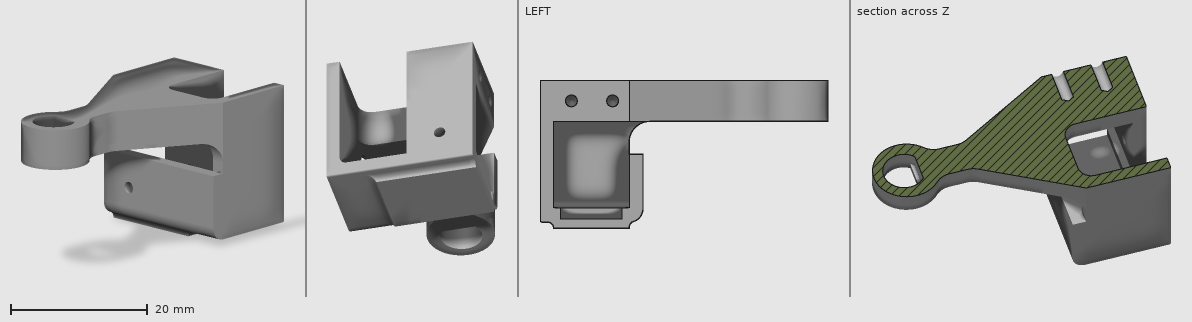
import cadquery as cq
import math

width = 22.0
height = 21.6
length = 42.05
half_width = width / 2
wall = 1.98

plate_thickness = 6.0
plate_bottom = height - plate_thickness
straight_length = 13.0
taper_angle = math.radians(60)
neck_half_width = 2.5
blend_radius = 3.0
ring_radius = 5.0
ring_y = ring_radius - length
bore_radius = 3.09
bore_y = -37.4
bore_flat_y = -35.15
bore_ledge_width = 0.5
bore_ledge_height = 1.0

base_bottom = 0.9
floor_z = 2.95
back_wall = 1.95
front_wall_inner = -straight_length
front_wall_thickness = 2.0
front_wall_outer = front_wall_inner - front_wall_thickness
front_wall_top = 10.85
outer_round = front_wall_thickness
back_round = 0.25
floor_fillet = 1.0

slot_left = -1.0
slot_right = half_width - wall
slot_corner = 2.0

foot_back = -back_wall
foot_front = front_wall_inner
foot_end_x = 4.0
foot_end_run = 1.25
cove_radius = base_bottom

recess_end_x = 0.95
recess_back = -2.95
recess_front = -11.95
recess_z = 1.4
strip_end_x = 4.05
strip_rise = 0.13

hole_diameter = 1.72
side_hole_places = (-4.55, -10.55)
side_hole_z = plate_bottom + plate_thickness / 2
side_hole_depth = 5.0
drill_half_angle = math.radians(59)
cross_hole_x = -6.0
cross_hole_z = 5.9


def box(x0, x1, y0, y1, z0, z1):
    """Box between two opposite corners."""
    return cq.Workplane("XY").box(x1 - x0, y1 - y0, z1 - z0, centered=False).translate((x0, y0, z0))


def make_outline():
    """Top outline of the block, tapered arm, neck and ring, over the full height."""
    taper_end = -straight_length - (half_width - neck_half_width) * math.tan(taper_angle)
    tangent = blend_radius * math.tan((math.pi / 2 - taper_angle) / 2)
    taper_tangent = (
        neck_half_width + tangent * math.cos(taper_angle),
        taper_end + tangent * math.sin(taper_angle),
    )
    neck_top = taper_end - tangent
    blend_x = neck_half_width + blend_radius
    upper_mid_angle = (math.pi / 2 - taper_angle) / 2
    upper_mid = (
        blend_x - blend_radius * math.cos(upper_mid_angle),
        neck_top + blend_radius * math.sin(upper_mid_angle),
    )
    centre_distance = ring_radius + blend_radius
    blend_y = ring_y + math.sqrt(centre_distance**2 - blend_x**2)
    ring_angle = math.atan2(blend_y - ring_y, blend_x)
    ring_tangent = (
        ring_radius * math.cos(ring_angle),
        ring_y + ring_radius * math.sin(ring_angle),
    )
    lower_mid = (
        blend_x - blend_radius * math.cos(ring_angle / 2),
        blend_y - blend_radius * math.sin(ring_angle / 2),
    )

    def mirrored(point):
        return (-point[0], point[1])

    return (
        cq.Workplane("XY")
        .moveTo(-half_width, 0)
        .lineTo(half_width, 0)
        .lineTo(half_width, -straight_length)
        .lineTo(*taper_tangent)
        .threePointArc(upper_mid, (neck_half_width, neck_top))
        .lineTo(neck_half_width, blend_y)
        .threePointArc(lower_mid, ring_tangent)
        .threePointArc((0, -length), mirrored(ring_tangent))
        .threePointArc(mirrored(lower_mid), (-neck_half_width, blend_y))
        .lineTo(-neck_half_width, neck_top)
        .threePointArc(mirrored(upper_mid), mirrored(taper_tangent))
        .lineTo(-half_width, -straight_length)
        .close()
        .extrude(height)
    )


def make_upper_body(outline):
    """Plate and upright block, with a concave blend where they meet."""
    blend_end = -straight_length - blend_radius
    plate_zone = box(-half_width, half_width, -length, 0, plate_bottom, height)
    upright_zone = box(-half_width, half_width, -straight_length, 0, floor_z, plate_bottom)
    blend_zone = box(
        slot_right, half_width, blend_end, -straight_length, plate_bottom - blend_radius, plate_bottom
    )
    blend_void = (
        cq.Workplane("YZ")
        .center(blend_end, plate_bottom - blend_radius)
        .circle(blend_radius)
        .extrude(half_width)
    )
    return outline.intersect(plate_zone.union(upright_zone).union(blend_zone.cut(blend_void)))


def make_base():
    """Floor and front wall, rounded along both lower outer edges."""
    base = box(-half_width, half_width, front_wall_outer, 0, base_bottom, front_wall_top)
    base = base.edges("|X and <Z and <Y").fillet(outer_round)
    return base.edges("|X and <Z and >Y").fillet(back_round)


def make_foot():
    """Raised foot with coves along its front, back and inner end."""
    round_z = base_bottom + outer_round
    reach = outer_round + cove_radius
    front_cove_y = foot_front - cove_radius
    front_cove_z = round_z - math.sqrt(reach**2 - cove_radius**2)
    section = box(
        -half_width, half_width, front_cove_y, foot_back + cove_radius, 0, floor_z
    )
    outside_round = box(
        -half_width, half_width, front_cove_y, foot_front, 0, round_z
    ).cut(cq.Workplane("YZ").center(foot_front, round_z).circle(outer_round).extrude(half_width, both=True))
    tangent_y = foot_front - cove_radius * outer_round / reach
    tangent_z = round_z - (round_z - front_cove_z) * outer_round / reach
    beyond_tangent = box(-half_width, half_width, front_cove_y, tangent_y, 0, round_z)
    above_tangent = box(-half_width, half_width, front_cove_y, foot_front, tangent_z, round_z)
    section = section.cut(outside_round.intersect(beyond_tangent.union(above_tangent)))
    coves = (
        cq.Workplane("YZ")
        .pushPoints([(front_cove_y, front_cove_z), (foot_back + cove_radius, 0)])
        .circle(cove_radius)
        .extrude(half_width, both=True)
    )
    below_front_cove = box(-half_width, half_width, front_cove_y, foot_front, 0, front_cove_z)
    section = section.cut(coves).cut(below_front_cove)

    end_radius = (foot_end_run**2 + base_bottom**2) / (2 * base_bottom)
    end_x = foot_end_x + foot_end_run
    mid_angle = math.asin(foot_end_run / end_radius) / 2
    end_mid = (
        end_x - end_radius * math.sin(mid_angle),
        base_bottom - end_radius * (1 - math.cos(mid_angle)),
    )
    side_profile = (
        cq.Workplane("XZ")
        .moveTo(-half_width, 0)
        .lineTo(foot_end_x, 0)
        .threePointArc(end_mid, (end_x, base_bottom))
        .lineTo(end_x, floor_z)
        .lineTo(-half_width, floor_z)
        .close()
        .extrude(length)
    )
    return section.intersect(side_profile)


def make_channel():
    """Space under the plate, opening out through the back, with a filleted end wall."""
    channel = box(-half_width, slot_right, front_wall_inner, -back_wall, floor_z, plate_bottom)
    back_opening = box(slot_left, slot_right, front_wall_inner, 0, floor_z, plate_bottom)
    return channel.union(back_opening).edges("|Y and >X and <Z").fillet(floor_fillet)


def make_plate_slot():
    """Slot through the plate, open at the back."""
    slot = box(slot_left, slot_right, -straight_length, 0, plate_bottom, height)
    return slot.edges("|Z and <Y").fillet(slot_corner)


def make_strip(wall_y, inner_y):
    """Thin wedge on the floor, rising towards a wall."""
    return (
        cq.Workplane("YZ", origin=(-half_width, 0, 0))
        .polyline([
            (inner_y, recess_z),
            (inner_y, floor_z),
            (wall_y, floor_z + strip_rise),
            (wall_y, recess_z),
        ])
        .close()
        .extrude(strip_end_x + half_width)
    )


def make_bore():
    """D-shaped bore, narrowed at the bottom by a ledge along its flat."""
    bore = cq.Workplane("XY").center(0, bore_y).circle(bore_radius).extrude(height)
    flat = box(-bore_radius, bore_radius, bore_flat_y, 0, 0, height)
    ledge_top = plate_bottom + bore_ledge_height
    ledge = box(-bore_radius, bore_radius, bore_flat_y - bore_ledge_width, bore_flat_y, 0, ledge_top)
    return bore.cut(flat).cut(ledge)


def make_side_hole(y):
    """Blind hole with a conical drill tip, entering from the -X face."""
    radius = hole_diameter / 2
    tip_depth = side_hole_depth + radius / math.tan(drill_half_angle)
    return (
        cq.Workplane("XY")
        .polyline([(0, 0), (0, radius), (side_hole_depth, radius), (tip_depth, 0)])
        .close()
        .revolve(360, (0, 0), (1, 0))
        .translate((-half_width, y, side_hole_z))
    )


body = make_upper_body(make_outline()).union(make_base())
body = body.cut(make_channel()).cut(make_plate_slot())
body = body.union(make_foot())
body = body.cut(box(-half_width, recess_end_x, recess_front, recess_back, recess_z, floor_z))

for strip_wall, strip_inner in ((-back_wall, recess_back), (front_wall_inner, recess_front)):
    body = body.union(make_strip(strip_wall, strip_inner))

body = body.cut(make_bore())
for hole_y in side_hole_places:
    body = body.cut(make_side_hole(hole_y))

cross_hole = (
    cq.Workplane("XZ").center(cross_hole_x, cross_hole_z).circle(hole_diameter / 2).extrude(length)
)
result = body.cut(cross_hole)